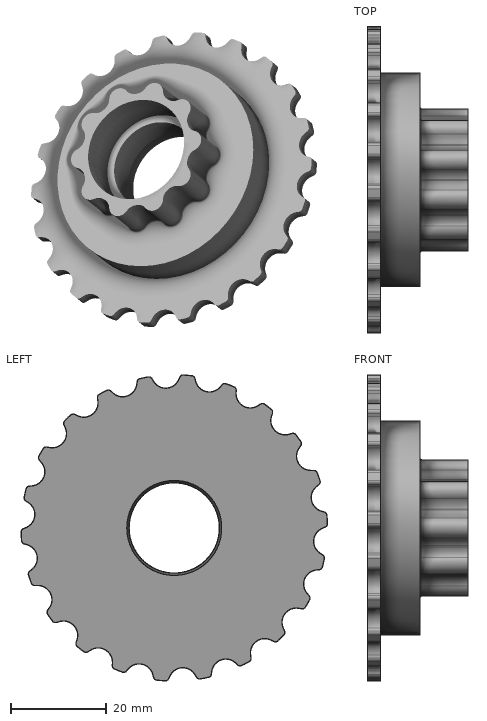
import cadquery as cq
import math


plate_thickness = 2.8
hub_end = 11.1
total_length = 21.15

tooth_count = 22
tooth_pitch_angle = 360 / tooth_count
tooth_tip_radius = 32.25
gap_root_radius = 29.45
gap_radius = 2.95
gap_flank_angle = 28.0
first_tooth_angle = 95.0
tip_corner_radius = 0.8

hub_radius = 22.5

lobe_count = 10
lobe_tip_radius = 14.95
lobe_radius = 2.25
lobe_center_radius = lobe_tip_radius - lobe_radius
lobe_root_radius = 12.5
lobe_root_fillet = 2.5
spigot_base_fillet = 0.3

bore_radius = 9.5
counterbore_radius = 10.0
counterbore_depth = 3.0
cone_end = counterbore_depth + counterbore_radius - bore_radius
pocket_radius = 11.0

pick_tolerance = 0.05


def axial_cylinder(radius, start, end):
    """Cylinder on the X axis between two X positions."""
    return cq.Workplane("YZ", origin=(start, 0, 0)).circle(radius).extrude(end - start)


def distance_from_axis(point):
    return math.hypot(point.y, point.z)


def axial_edges_at(body, radius):
    """Edges parallel to X that lie at the given distance from the axis."""
    return body.edges("|X").filter(
        lambda edge: abs(distance_from_axis(edge.Center()) - radius) < pick_tolerance
    )


def tooth_gap():
    """Cutter for one tooth gap on +Y: a round bottom with tangent sides that open outwards."""
    flank_angle = math.radians(gap_flank_angle)
    center_y = gap_root_radius + gap_radius
    tangent_y = center_y - gap_radius * math.sin(flank_angle)
    tangent_z = gap_radius * math.cos(flank_angle)
    mouth_y = tooth_tip_radius + gap_radius
    mouth_z = tangent_z + (mouth_y - tangent_y) * math.tan(flank_angle)
    return (
        cq.Workplane("YZ")
        .moveTo(mouth_y, mouth_z)
        .lineTo(tangent_y, tangent_z)
        .threePointArc((gap_root_radius, 0), (tangent_y, -tangent_z))
        .lineTo(mouth_y, -mouth_z)
        .close()
        .extrude(plate_thickness)
    )


def sprocket_plate():
    """Toothed plate with rounded tooth tip corners."""
    plate = axial_cylinder(tooth_tip_radius, 0, plate_thickness)
    gap = tooth_gap()
    for index in range(tooth_count):
        gap_angle = first_tooth_angle + (index + 0.5) * tooth_pitch_angle
        plate = plate.cut(gap.rotate((0, 0, 0), (1, 0, 0), gap_angle))
    return axial_edges_at(plate, tooth_tip_radius).fillet(tip_corner_radius)


def lobed_spigot():
    """Round core with lobes around it, blended by root fillets."""
    core = axial_cylinder(lobe_root_radius, hub_end, total_length)
    lobes = (
        cq.Workplane("YZ", origin=(hub_end, 0, 0))
        .polarArray(lobe_center_radius, 0, 360, lobe_count)
        .circle(lobe_radius)
        .extrude(total_length - hub_end)
    )
    return axial_edges_at(core.union(lobes), lobe_root_radius).fillet(lobe_root_fillet)


def hub_with_spigot():
    """Hub and spigot joined, with a small fillet around the foot of the spigot."""
    body = axial_cylinder(hub_radius, 0, hub_end).union(lobed_spigot())
    foot_edges = body.edges().filter(
        lambda edge: abs(edge.Center().x - hub_end) < pick_tolerance
        and distance_from_axis(edge.startPoint()) < lobe_tip_radius + pick_tolerance
    )
    return foot_edges.fillet(spigot_base_fillet)


def stepped_bore():
    """Cutter for the whole bore, revolved about the X axis."""
    return (
        cq.Workplane("XY")
        .moveTo(0, 0)
        .lineTo(0, counterbore_radius)
        .lineTo(counterbore_depth, counterbore_radius)
        .lineTo(cone_end, bore_radius)
        .lineTo(hub_end, bore_radius)
        .lineTo(hub_end, pocket_radius)
        .lineTo(total_length, pocket_radius)
        .lineTo(total_length, 0)
        .close()
        .revolve(360, (0, 0, 0), (1, 0, 0))
    )


result = hub_with_spigot().union(sprocket_plate()).cut(stepped_bore())